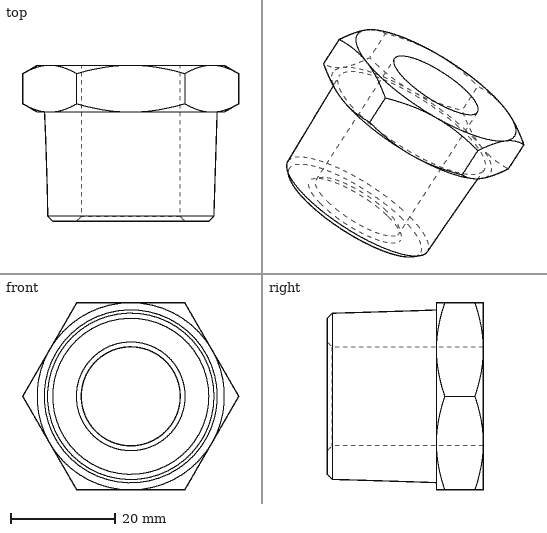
import cadquery as cq
import math

hex_sides = 6
corner_width = 41.55
total_length = 30.0
hex_length = 9.0
corner_bevel_angle = 30.0
base_diameter = 33.25
taper_ratio = 1 / 16
end_chamfer = 1.0
bore_diameter = 19.0
mouth_diameter = 20.9

shank_length = total_length - hex_length
corner_radius = corner_width / 2
flat_radius = corner_radius * math.cos(math.pi / hex_sides)
bevel_depth = (corner_radius - flat_radius) * math.tan(math.radians(corner_bevel_angle))
mouth_depth = (mouth_diameter - bore_diameter) / 2


def shank_radius(distance):
    """Radius of the tapered shank at a distance from the hexagon."""
    return (base_diameter - taper_ratio * distance) / 2


def revolve_about_y(points):
    """Solid of revolution about Y from (radius, y) points."""
    return cq.Workplane("XY").polyline(points).close().revolve(360, (0, 0), (0, 1))


def make_hexagon():
    """Hexagon head from y = 0 to hex_length, corners bevelled on both faces."""
    prism = cq.Workplane("XZ").polygon(hex_sides, corner_width).extrude(-hex_length)
    bevel_envelope = revolve_about_y([
        (0, 0),
        (flat_radius, 0),
        (corner_radius, bevel_depth),
        (corner_radius, hex_length - bevel_depth),
        (flat_radius, hex_length),
        (0, hex_length),
    ])
    return prism.intersect(bevel_envelope)


def make_shank():
    """Tapered shank towards -Y with a chamfered end."""
    chamfer_start = shank_length - end_chamfer
    rim_radius = shank_radius(chamfer_start)
    return revolve_about_y([
        (0, 0),
        (shank_radius(0), 0),
        (rim_radius, -chamfer_start),
        (rim_radius - end_chamfer, -shank_length),
        (0, -shank_length),
    ])


def make_bore():
    """Through bore with a 45 degree countersunk mouth at the shank end."""
    return revolve_about_y([
        (0, -shank_length),
        (mouth_diameter / 2, -shank_length),
        (bore_diameter / 2, -shank_length + mouth_depth),
        (bore_diameter / 2, hex_length),
        (0, hex_length),
    ])


result = make_hexagon().union(make_shank()).cut(make_bore())